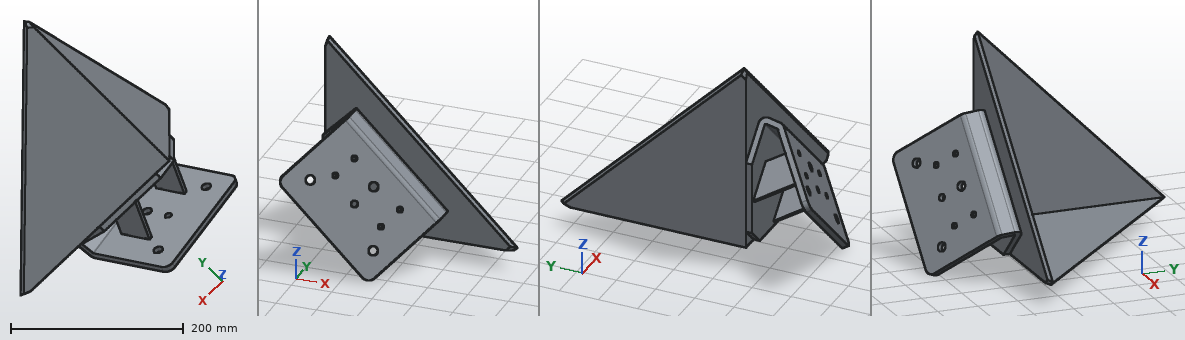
import cadquery as cq
import math

inner_leg = 233.5
wall = 4.0
root2 = math.sqrt(2)
tip_slope_next = 2.4
tip_slope_after = 0.83

overall_depth = 330.0
bracket_width = 160.0
sheet = 8.0
inner_bend_radius = 1.0
outer_bend_radius = inner_bend_radius + sheet
flange_start = 9.5
flange_end = 135.0
web_length = 29.7
web_lean = 10.0
mount_corner_radius = 10.0

rib_spread = 40.0
rib_thickness = 5.0
rib_width = 40.0
rib_row = 70.0

large_hole = 11.0
large_spread = 55.0
low_large_row = 30.0
high_large_row = 80.0
medium_hole = 8.0
medium_row = 50.0
small_hole = 4.3
small_hole_chamfer = 1.3
small_hole_offset = 15.0

across_width = (1, 0, -1)
profile_plane = cq.Plane(origin=(0, -wall, 0), xDir=(1, 0, 1), normal=across_width)

lean = math.radians(web_lean)
flange_normal = cq.Vector(0, -1)
web_direction = cq.Vector(-math.sin(lean), math.cos(lean))
web_normal = cq.Vector(math.cos(lean), math.sin(lean))
mount_direction = cq.Vector(-root2, 1).normalized()
mount_normal = cq.Vector(1, root2).normalized()

flange_corner = cq.Vector(flange_end, 0)
mount_corner = flange_corner + web_direction * web_length
mount_depth = overall_depth - inner_leg - wall
mount_length = (mount_depth - mount_corner.y) / mount_direction.y
mount_edge = mount_corner + mount_direction * mount_length

mount_plane = cq.Plane(
    origin=profile_plane.toWorldCoords(mount_edge.toTuple()),
    xDir=across_width,
    normal=(1, -2, 1),
)


def half_space(point, normal):
    """A block that fills everything of interest beyond a plane."""
    size = 4 * inner_leg
    return cq.Workplane(cq.Plane(origin=point, normal=normal)).rect(size, size).extrude(size)


def corner_cube(side):
    return cq.Workplane().box(side, side, side, centered=False)


def make_reflector():
    shell = corner_cube(inner_leg + wall).translate((-wall, -wall, -wall)).cut(corner_cube(inner_leg))
    for axis in range(3):
        next_axis = (axis + 1) % 3
        axis_after = (axis + 2) % 3
        tip = [0, 0, 0]
        tip[axis] = inner_leg

        bevel = [1, 1, 1]
        bevel[axis_after] = -root2

        tip_cut = [0, 0, 0]
        tip_cut[axis] = 1
        tip_cut[next_axis] = -tip_slope_next
        tip_cut[axis_after] = -tip_slope_after

        for normal in (bevel, tip_cut):
            shell = shell.cut(half_space(tuple(tip), tuple(normal)))
    return shell


def inside_corner(corner, normal_before, normal_after):
    """The matching profile corner on the inner side of the sheet."""
    return corner - (normal_before + normal_after) * (sheet / (1 + normal_before.dot(normal_after)))


def extrude_profile(points, width, offset=0):
    """A prism with the given profile, centred at an offset across the bracket's width."""
    return (
        cq.Workplane(profile_plane)
        .workplane(offset=offset)
        .polyline([(point.x, point.y) for point in points])
        .close()
        .extrude(width / 2, both=True)
    )


def fillet_edge_near(body, profile_point, radius):
    """Round the edge nearest to a point given in profile coordinates."""
    target = profile_plane.toWorldCoords(profile_point.toTuple()).toTuple()
    return body.edges(cq.selectors.NearestToPointSelector(target)).fillet(radius)


def make_bent_sheet():
    inner_flange_corner = inside_corner(flange_corner, flange_normal, web_normal)
    inner_mount_corner = inside_corner(mount_corner, web_normal, mount_normal)
    outline = [
        cq.Vector(flange_start, 0),
        flange_corner,
        mount_corner,
        mount_edge,
        mount_edge - mount_normal * sheet,
        inner_mount_corner,
        inner_flange_corner,
        cq.Vector(flange_start, sheet),
    ]
    body = extrude_profile(outline, bracket_width)
    for corner in (flange_corner, mount_corner):
        body = fillet_edge_near(body, corner, outer_bend_radius)
    for corner in (inner_flange_corner, inner_mount_corner):
        body = fillet_edge_near(body, corner, inner_bend_radius)
    return body


def trim_flange(body):
    """Cut the flange flush with the left and bottom faces of the reflector."""
    slab_side = 4 * inner_leg
    flange_layer = cq.Workplane().box(slab_side, sheet, slab_side).translate((0, -wall - sheet / 2, 0))
    for normal in ((-1, 0, 0), (0, 0, -1)):
        body = body.cut(half_space((-wall, -wall, -wall), normal).intersect(flange_layer))
    return body


def round_mount_corners(body):
    edge_middle = mount_edge - mount_normal * (sheet / 2)
    for side in (-1, 1):
        corner = edge_middle + cq.Vector(0, 0, side * bracket_width / 2)
        body = fillet_edge_near(body, corner, mount_corner_radius)
    return body


def drill(body, diameter, places):
    """Through holes in the mounting plate."""
    return body.cut(
        cq.Workplane(mount_plane).pushPoints(places).circle(diameter / 2).extrude(-sheet)
    )


def chamfer_holes(body, diameter, chamfer, places):
    """45 degree chamfers at the outer ends of holes in the mounting plate."""
    for place in places:
        cone = cq.Solid.makeCone(
            diameter / 2 + chamfer,
            diameter / 2,
            chamfer,
            pnt=mount_plane.toWorldCoords(place),
            dir=-mount_plane.zDir,
        )
        body = body.cut(cq.Workplane(cone))
    return body


def make_bracket():
    body = round_mount_corners(trim_flange(make_bent_sheet()))
    large_places = [
        (-large_spread, low_large_row),
        (large_spread, low_large_row),
        (0, high_large_row),
    ]
    small_places = [
        (side * rib_spread, rib_row + step * small_hole_offset)
        for side in (-1, 1)
        for step in (-1, 1)
    ]
    body = drill(body, large_hole, large_places)
    body = drill(body, medium_hole, [(0, medium_row)])
    body = drill(body, small_hole, small_places)
    return chamfer_holes(body, small_hole, small_hole_chamfer, small_places)


def make_rib(offset):
    """A strip square to the mounting plate that reaches down to the flange."""
    tops = []
    feet = []
    for row in (rib_row - rib_width / 2, rib_row + rib_width / 2):
        top = mount_edge - mount_direction * row - mount_normal * sheet
        rib_length = (top.y - sheet) / mount_normal.y
        tops.append(top)
        feet.append(top - mount_normal * rib_length)
    return extrude_profile([tops[0], feet[0], feet[1], tops[1]], rib_thickness, offset)


reflector = make_reflector()
bracket = make_bracket()
ribs = [make_rib(side * rib_spread) for side in (-1, 1)]

result = cq.Compound.makeCompound([reflector.val(), bracket.val(), *[rib.val() for rib in ribs]])